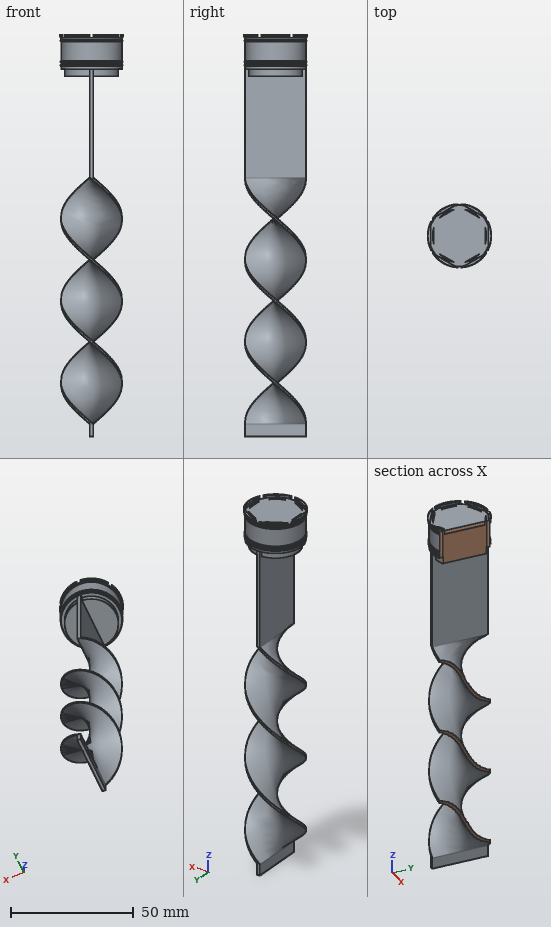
import cadquery as cq
import math

total_height = 164.0
lug_height = 1.1
cap_depth = 14.0
core_projection = 3.0
foot_length = 5.2
twist_length = 100.5
twist_angle = -540.0

cap_radius = 12.5
lug_overhang = 0.54
lug_chamfer = 0.5
bead_height = 0.25
bead_half_width = 0.41
bead_depths = [2.3, 11.0, 12.5]
lug_flat = 11.6
floor_thickness = 2.0
window_flat = 10.5
side_count = 6

core_radius = 11.0
tab_drop = 0.5
blade_width = 25.0
blade_thickness = 1.5

lug_radius = cap_radius + lug_overhang
disk_top = total_height - lug_height
cap_bottom = total_height - cap_depth
core_top = disk_top - floor_thickness
tab_top = total_height - tab_drop
core_bottom = cap_bottom - core_projection
twist_top = foot_length + twist_length


def disk(radius, bottom, top):
    """Solid cylinder about the Z axis between two levels."""
    return cq.Workplane("XY").workplane(offset=bottom).circle(radius).extrude(top - bottom)


def hexagon(flat_distance, bottom, top):
    """Hexagonal prism with two of its flats facing +X and -X."""
    corner_diameter = 2 * flat_distance / math.cos(math.pi / side_count)
    prism = cq.Workplane("XY").workplane(offset=bottom).polygon(side_count, corner_diameter)
    return prism.extrude(top - bottom).rotate((0, 0, 0), (0, 0, 1), 180 / side_count)


def bead(level):
    """Ring with its crest at a level, rooted just inside the cap wall."""
    root_radius = cap_radius - bead_height
    profile = [
        (root_radius, level + bead_half_width),
        (cap_radius, level + bead_half_width),
        (cap_radius + bead_height, level),
        (cap_radius, level - bead_half_width),
        (root_radius, level - bead_half_width),
    ]
    return cq.Workplane("XZ").polyline(profile).close().revolve(360, (0, 0, 0), (0, 1, 0))


def lug_segments():
    """Six circle segments left outside a hexagon, chamfered below their outer edge."""
    rim = disk(lug_radius, disk_top, total_height).faces("<Z").edges().chamfer(lug_chamfer)
    return rim.cut(hexagon(lug_flat, disk_top, total_height)).solids()


def make_cap():
    """Cup open downward, with six lugs and six windows around its top."""
    body = disk(cap_radius, cap_bottom, disk_top)
    for depth in bead_depths:
        body = body.union(bead(total_height - depth))
    for lug in lug_segments().vals():
        body = body.union(cq.Workplane(lug))

    windows = disk(core_radius, core_top, disk_top).cut(hexagon(window_flat, core_top, disk_top))
    return body.cut(disk(core_radius, cap_bottom, core_top)).cut(windows)


def blade_section(bottom):
    """Blade cross-section, wide along Y."""
    return cq.Workplane("XY").workplane(offset=bottom).rect(blade_thickness, blade_width)


def make_blade():
    """Flat strip with a twisted stretch between its foot and its shank."""
    foot = blade_section(0).extrude(foot_length)
    twist = blade_section(foot_length).twistExtrude(twist_length, twist_angle)
    shank = blade_section(twist_top).extrude(cap_bottom - twist_top)
    return foot.union(twist).union(shank)


def make_core():
    """Plug in the cap, with a blade slot below and six tabs that rise through the windows."""
    plug = disk(core_radius, core_bottom, tab_top).cut(hexagon(window_flat, core_top, tab_top))
    slot = blade_section(core_bottom).extrude(core_projection)
    return plug.cut(slot)


cap = make_cap()
core = make_core()
blade = make_blade()

result = cq.Compound.makeCompound([cap.val(), core.val(), blade.val()])